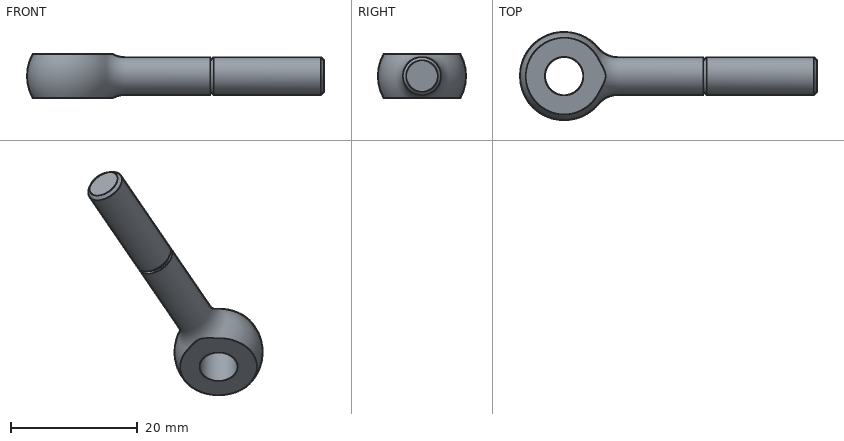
import cadquery as cq
import math

total_length = 47.0
ball_radius = 7.0
eye_thickness = 7.0
hole_diameter = 6.0
shank_radius = 3.0
neck_radius = 4.0
thread_length = 18.0
thread_chamfer = 0.5

shank_end = total_length - ball_radius
thread_start = shank_end - thread_length

neck_center_y = shank_radius + neck_radius
neck_end = math.sqrt((ball_radius + neck_radius) ** 2 - neck_center_y ** 2)
tangent_ratio = ball_radius / (ball_radius + neck_radius)
tangent_point = (neck_end * tangent_ratio, neck_center_y * tangent_ratio)

ball_side_angle = math.atan2(-neck_center_y, -neck_end)
neck_mid_angle = (ball_side_angle - math.pi / 2) / 2
neck_mid = (
    neck_end + neck_radius * math.cos(neck_mid_angle),
    neck_center_y + neck_radius * math.sin(neck_mid_angle),
)


def make_body():
    """Revolve the ball, neck and shank about the X axis."""
    return (
        cq.Workplane("XY")
        .moveTo(-ball_radius, 0)
        .threePointArc((0, ball_radius), tangent_point)
        .threePointArc(neck_mid, (neck_end, shank_radius))
        .lineTo(shank_end, shank_radius)
        .lineTo(shank_end, 0)
        .close()
        .revolve(360, (0, 0, 0), (1, 0, 0))
        .faces(">X")
        .chamfer(thread_chamfer)
    )


def make_groove():
    """V-shaped ring: a square step at the plain shank and a 45 degree cone up to the thread."""
    return (
        cq.Workplane("XY")
        .moveTo(thread_start, shank_radius)
        .lineTo(thread_start, shank_radius - thread_chamfer)
        .lineTo(thread_start + thread_chamfer, shank_radius)
        .close()
        .revolve(360, (0, 0, 0), (1, 0, 0))
    )


def make_eye_slab():
    """Slab whose faces trim the ball flat, with the eye hole through it."""
    slab_length = 2 * total_length
    slab_width = 4 * ball_radius
    return (
        cq.Workplane("XY")
        .box(slab_length, slab_width, eye_thickness)
        .faces(">Z")
        .workplane()
        .hole(hole_diameter)
    )


result = make_body().cut(make_groove()).intersect(make_eye_slab())